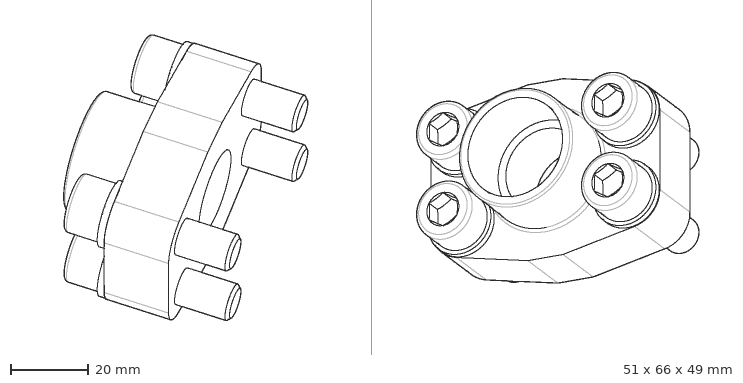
import cadquery as cq
import math

plate_width = 66.0
plate_height = 49.0
plate_thickness = 18.0
top_flat_width = 10.15

screw_spacing_y = 47.6
screw_spacing_z = 22.25
corner_radius = (plate_width - screw_spacing_y) / 2

neck_length = 18.0
neck_tip_radius = 16.3
neck_base_radius = 16.5
neck_edge_radius = 0.6
neck_root_radius = 0.8
socket_radius = 13.65
socket_depth = neck_length
bore_radius = 11.4

pad_height = 2.0
pad_radius = 9.05
head_length = 9.95
head_radius = 8.0
head_edge_radius = 1.0
hex_across_flats = 8.0
hex_corner_radius = hex_across_flats / math.sqrt(3)
hex_depth = 5.0
hex_lead_in = 0.4
drill_point_angle = 120.0
shank_radius = 5.0
shank_protrusion = 15.0
shank_chamfer = 0.9


def cylinder(start_x, length, radius):
    """Cylinder centred on the X axis, running along +X."""
    return cq.Workplane("YZ", origin=(start_x, 0, 0)).circle(radius).extrude(length)


def revolve_about_x(profile):
    """Revolve a closed profile, with radius drawn along Y, around the X axis."""
    return profile.close().revolve(360, (0, 0, 0), (1, 0, 0))


def at_screws(body):
    """Copies of a body at the four screw positions."""
    copies = cq.Workplane("YZ")
    for side_y in (-1, 1):
        for side_z in (-1, 1):
            offset = (0, side_y * screw_spacing_y / 2, side_z * screw_spacing_z / 2)
            copies = copies.add(body.translate(offset))
    return copies.combine()


def make_plate():
    """Plate whose sloped edges run tangent from the top flat to the corner arcs."""
    half_flat = top_flat_width / 2
    half_height = plate_height / 2
    center_y = screw_spacing_y / 2
    center_z = screw_spacing_z / 2
    run = center_y - half_flat
    drop = half_height - center_z
    slope = math.atan2(drop, run) - math.asin(corner_radius / math.hypot(run, drop))

    def corner_point(angle):
        return (center_y + corner_radius * math.cos(angle), center_z + corner_radius * math.sin(angle))

    tangent_angle = math.pi / 2 - slope
    slope_end = corner_point(tangent_angle)
    arc_middle = corner_point(tangent_angle / 2)
    side_start = corner_point(0)
    quarter = (
        cq.Workplane("YZ")
        .lineTo(0, half_height)
        .lineTo(half_flat, half_height)
        .lineTo(*slope_end)
        .threePointArc(arc_middle, side_start)
        .lineTo(plate_width / 2, 0)
        .close()
        .extrude(plate_thickness)
    )
    half = quarter.union(quarter.mirror("XY"))
    return half.union(half.mirror("XZ")).clean()


def make_neck():
    """Slightly tapered pipe neck with a rounded rim and a concave fillet onto the plate."""
    root_outer_radius = neck_base_radius + neck_root_radius
    return revolve_about_x(
        cq.Workplane("XY")
        .moveTo(-neck_length, 0)
        .lineTo(-neck_length, neck_tip_radius - neck_edge_radius)
        .radiusArc((-neck_length + neck_edge_radius, neck_tip_radius), neck_edge_radius)
        .lineTo(-neck_root_radius, neck_base_radius)
        .radiusArc((0, root_outer_radius), -neck_root_radius)
        .lineTo(plate_thickness, root_outer_radius)
        .lineTo(plate_thickness, 0)
    )


def make_screw():
    """Pad, screw head and shank on one axis."""
    pad = cylinder(-pad_height, pad_height, pad_radius)
    head = cylinder(-pad_height - head_length, head_length, head_radius)
    head = head.faces("<X").edges().fillet(head_edge_radius)
    shank = cylinder(-pad_height, pad_height + plate_thickness + shank_protrusion, shank_radius)
    shank = shank.faces(">X").chamfer(shank_chamfer)
    return pad.union(head).union(shank)


def make_hex_socket():
    """Hexagon cutter with a conical lead-in and a drill-point bottom."""
    face_x = -pad_height - head_length
    point_length = hex_corner_radius / math.tan(math.radians(drill_point_angle / 2))
    hexagon = (
        cq.Workplane("YZ", origin=(face_x, 0, 0))
        .polygon(6, 2 * hex_corner_radius)
        .extrude(hex_depth + point_length)
        .rotate((0, 0, 0), (1, 0, 0), 90)
    )
    pointed_envelope = revolve_about_x(
        cq.Workplane("XY")
        .moveTo(face_x, 0)
        .lineTo(face_x, hex_corner_radius)
        .lineTo(face_x + hex_depth, hex_corner_radius)
        .lineTo(face_x + hex_depth + point_length, 0)
    )
    lead_in = revolve_about_x(
        cq.Workplane("XY")
        .moveTo(face_x, 0)
        .lineTo(face_x, hex_corner_radius)
        .lineTo(face_x + hex_lead_in, hex_across_flats / 2)
        .lineTo(face_x + hex_lead_in, 0)
    )
    return hexagon.intersect(pointed_envelope).union(lead_in)


pipe_socket = cylinder(-neck_length, socket_depth, socket_radius)
bore = cylinder(-neck_length, neck_length + plate_thickness, bore_radius)

result = (
    make_plate()
    .union(make_neck())
    .union(at_screws(make_screw()))
    .cut(pipe_socket)
    .cut(bore)
    .cut(at_screws(make_hex_socket()))
)